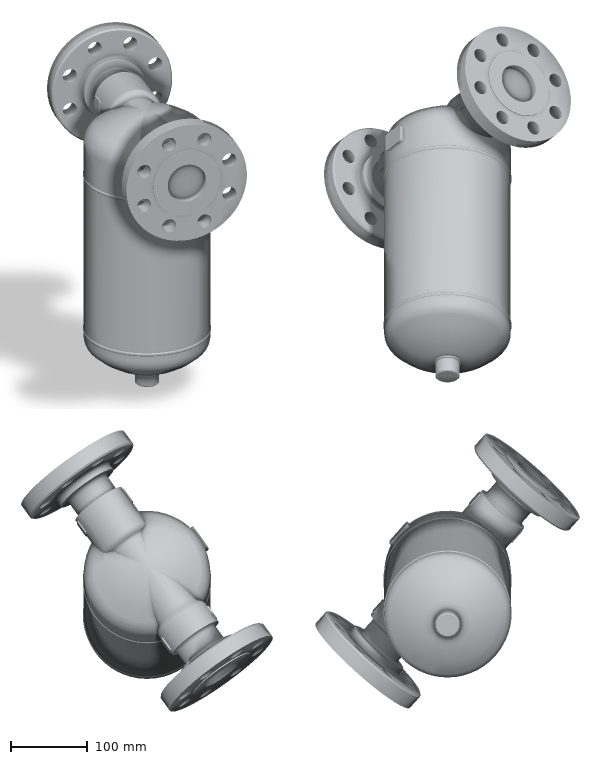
import cadquery as cq
import math

overall_height = 442.5
overall_length = 337.0
flange_radius = 165.0 / 2
axis_z = overall_height - flange_radius

pipe_radius = 60.5 / 2
socket_radius = 74.0 / 2
hub_radius = 84.0 / 2
raised_face_radius = 92.0 / 2
face_x = overall_length / 2
raised_face_height = 1.5
flange_front_x = face_x - raised_face_height
flange_back_x = 145.0
flange_back_chamfer = 2.0
hub_end_x = 135.0
socket_end_x = 109.5
root_fillet = 3.5

inlet_shoulder_x = 53.5
inlet_shoulder_round = 9.5
inlet_shoulder_foot_radius = 32.5
inlet_neck_x = 42.0
outlet_shoulder_x = 80.0
outlet_neck_x = 66.5

bore_diameter = 52.5
bore_depth = 10.5
bolt_hole_diameter = 19.0
bolt_circle_radius = 63.3
bolt_count = 8

vessel_radius = 165.0 / 2
bottom_pole_z = 21.0
bottom_crown_z = 51.8
bottom_crown_radius = 76.0
bottom_knuckle_z = 66.5
top_knuckle_z = axis_z - 14.5
top_crown_z = axis_z + 7.0
top_crown_radius = 71.2
top_pole_z = axis_z + pipe_radius
bead_height = 1.1
bead_width = 4.5
bead_levels = (77.5, axis_z - 61.5)

drain_radius = 32.0 / 2
drain_chamfer = 1.5
drain_collar_radius = 17.3
drain_collar_z = 20.0

pad_size = 21.0
pad_corner = 2.0
pad_height = 0.5
pad_x = 95.0

plate_width = 35.0
plate_height = 24.5
plate_corner = 4.5
plate_face_y = 85.5
plate_z = axis_z - 27.0


def cap_middle(rim_radius, rim_z, pole_z):
    """Point halfway along the profile of a spherical cap, given its rim and its pole."""
    height = abs(pole_z - rim_z)
    sphere_radius = (rim_radius**2 + height**2) / (2 * height)
    half_angle = math.asin(rim_radius / sphere_radius) / 2
    drop = sphere_radius * (1 - math.cos(half_angle))
    return sphere_radius * math.sin(half_angle), pole_z + math.copysign(drop, rim_z - pole_z)


def make_head(shell_end_z, knuckle_z, crown_rim, pole_z):
    """Dished head with the shell behind it; the knuckle runs tangent out of the shell."""
    return (
        cq.Workplane("XZ")
        .moveTo(0, shell_end_z)
        .lineTo(vessel_radius, shell_end_z)
        .lineTo(vessel_radius, knuckle_z)
        .tangentArcPoint(crown_rim, relative=False)
        .threePointArc(cap_middle(*crown_rim, pole_z), (0, pole_z))
        .close()
        .revolve(360, (0, 0), (0, 1))
    )


def make_vessel():
    top_rim = (top_crown_radius, top_crown_z)
    bottom_rim = (bottom_crown_radius, bottom_crown_z)
    top_head = make_head(bottom_knuckle_z, top_knuckle_z, top_rim, top_pole_z)
    bottom_head = make_head(top_knuckle_z, bottom_knuckle_z, bottom_rim, bottom_pole_z)
    return top_head.union(bottom_head)


def make_weld_bead(level):
    """Low rounded ring around the shell, centred on a level."""
    return (
        cq.Workplane("XZ")
        .moveTo(0, level - bead_width / 2)
        .lineTo(vessel_radius, level - bead_width / 2)
        .threePointArc((vessel_radius + bead_height, level), (vessel_radius, level + bead_width / 2))
        .lineTo(0, level + bead_width / 2)
        .close()
        .revolve(360, (0, 0), (0, 1))
    )


def make_drain():
    stub = cq.Workplane("XY").circle(drain_radius).extrude(bottom_knuckle_z)
    stub = stub.faces("<Z").chamfer(drain_chamfer)
    collar = (
        cq.Workplane("XY", origin=(0, 0, drain_collar_z))
        .circle(drain_collar_radius)
        .extrude(bottom_knuckle_z - drain_collar_z)
    )
    return stub.union(collar)


def finish_arm(outline):
    """Carry a pipe-arm outline from its socket shoulder to the flange face and revolve it."""
    arm = (
        outline.lineTo(socket_end_x, socket_radius)
        .lineTo(socket_end_x, pipe_radius + root_fillet)
        .radiusArc((socket_end_x + root_fillet, pipe_radius), -root_fillet)
        .lineTo(hub_end_x - root_fillet, pipe_radius)
        .radiusArc((hub_end_x, pipe_radius + root_fillet), -root_fillet)
        .lineTo(hub_end_x, hub_radius)
        .lineTo(flange_back_x - root_fillet, hub_radius)
        .radiusArc((flange_back_x, hub_radius + root_fillet), -root_fillet)
        .lineTo(flange_back_x, flange_radius - flange_back_chamfer)
        .lineTo(flange_back_x + flange_back_chamfer, flange_radius)
        .lineTo(flange_front_x, flange_radius)
        .lineTo(flange_front_x, raised_face_radius)
        .lineTo(face_x, raised_face_radius)
        .lineTo(face_x, 0)
        .close()
        .revolve(360, (0, 0), (1, 0))
    )
    first_bolt_angle = 180 / bolt_count
    bolt_holes = (
        cq.Workplane("YZ", origin=(flange_back_x, 0, 0))
        .polarArray(bolt_circle_radius, first_bolt_angle, 360, bolt_count)
        .circle(bolt_hole_diameter / 2)
        .extrude(face_x - flange_back_x)
    )
    bore = (
        cq.Workplane("YZ", origin=(face_x - bore_depth, 0, 0))
        .circle(bore_diameter / 2)
        .extrude(bore_depth)
    )
    pads = (
        cq.Workplane("XZ", origin=(pad_x, 0, 0))
        .rect(pad_size, pad_size)
        .extrude(socket_radius + pad_height, both=True)
        .edges("|Y")
        .fillet(pad_corner)
    )
    return arm.cut(bolt_holes).cut(bore).union(pads)


def make_inlet_arm():
    """Arm whose socket ends in a rounded shoulder with a small hollow at its foot."""
    centre_radius = socket_radius - inlet_shoulder_round
    foot_rise = inlet_shoulder_foot_radius - centre_radius
    foot_x = inlet_shoulder_x - math.sqrt(inlet_shoulder_round**2 - foot_rise**2)
    outline = (
        cq.Workplane("XZ")
        .lineTo(0, pipe_radius)
        .lineTo(inlet_neck_x, pipe_radius)
        .tangentArcPoint((foot_x, inlet_shoulder_foot_radius), relative=False)
        .radiusArc((inlet_shoulder_x, socket_radius), inlet_shoulder_round)
    )
    return finish_arm(outline).rotate((0, 0, 0), (0, 0, 1), 180)


def make_outlet_arm():
    """Arm whose socket runs down to the pipe in a smooth S-curve."""
    along_pipe = (1, 0)
    outline = (
        cq.Workplane("XZ")
        .lineTo(0, pipe_radius)
        .lineTo(outlet_neck_x, pipe_radius)
        .spline(
            [(outlet_shoulder_x, socket_radius)],
            tangents=[along_pipe, along_pipe],
            includeCurrent=True,
        )
    )
    return finish_arm(outline)


def make_name_plate():
    return (
        cq.Workplane("XZ", origin=(0, plate_face_y, plate_z))
        .rect(plate_width, plate_height)
        .extrude(plate_face_y)
        .edges("|Y")
        .fillet(plate_corner)
    )


result = make_vessel().union(make_drain()).union(make_name_plate())
for bead_level in bead_levels:
    result = result.union(make_weld_bead(bead_level))
for arm in (make_inlet_arm(), make_outlet_arm()):
    result = result.union(arm.translate((0, 0, axis_z)))